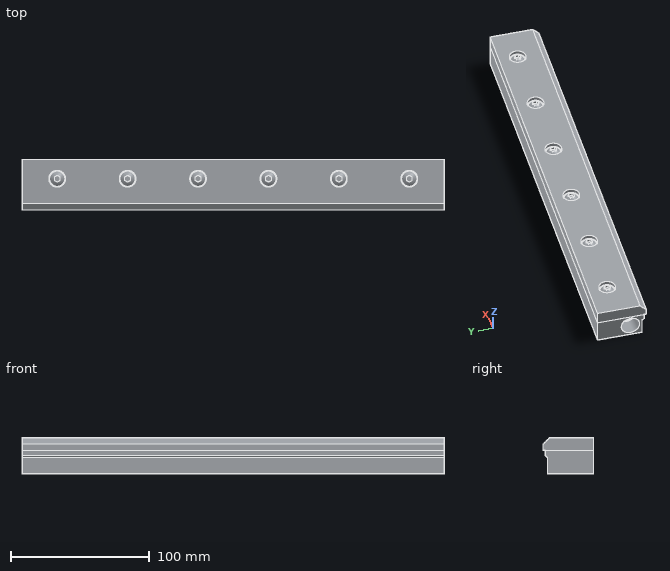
import cadquery as cq
import math

length = 304.8
cap_width = 36.51
total_height = 26.2

cap_height = 9.2
cap_chamfer = 4.76

base_height = total_height - cap_height
base_width = 33.34
lip_width = 34.93
lip_face_height = 3.65

screw_count = 6
screw_pitch = length / screw_count
screw_from_back = 13.88
head_diameter = 11.0
head_height = 3.35
head_rim_height = 0.7
socket_across_flats = 4.2
socket_depth = 2.6
shank_diameter = 6.35
shank_length = 15.9
counterbore_diameter = 12.06
counterbore_depth = head_height
clearance_diameter = 7.16

port_from_back = 24.6
port_height = 8.8
port_mouth_diameter = 13.7
port_taper_diameter = 12.06
port_diameter = 11.0
port_taper = 1 / 16
port_mouth_depth = 12.0
port_depth = 35.0
drill_point_angle = 118

back_y = cap_width / 2
left_x = -length / 2
top_z = total_height
screw_y = back_y - screw_from_back
seat_z = top_z - counterbore_depth
screw_places = [
    (left_x + screw_pitch * (index + 0.5), screw_y) for index in range(screw_count)
]


def extrude_profile(points):
    """Extrude a (y, z) outline along the whole length of the bars."""
    return cq.Workplane("YZ", origin=(left_x, 0, 0)).polyline(points).close().extrude(length)


def vertical_cylinders(diameter, bottom_z, height):
    """Cylinders standing on bottom_z at every screw place."""
    plane = cq.Workplane("XY", origin=(0, 0, bottom_z))
    return plane.pushPoints(screw_places).circle(diameter / 2).extrude(height)


def make_port():
    """Wide mouth, tapered bore, straight bore and drill point, revolved about the port axis."""
    mouth_radius = port_mouth_diameter / 2
    taper_radius = port_taper_diameter / 2
    bore_radius = port_diameter / 2
    taper_length = (port_taper_diameter - port_diameter) / port_taper
    point_length = bore_radius / math.tan(math.radians(drill_point_angle / 2))
    outline = [
        (0, 0),
        (0, mouth_radius),
        (port_mouth_depth, mouth_radius),
        (port_mouth_depth, taper_radius),
        (port_mouth_depth + taper_length, bore_radius),
        (port_depth, bore_radius),
        (port_depth + point_length, 0),
    ]
    axis_start = (left_x, back_y - port_from_back, port_height)
    return (
        cq.Workplane("XZ", origin=axis_start)
        .polyline(outline).close()
        .revolve(360, (0, 0, 0), (1, 0, 0))
    )


def make_base():
    """Lower bar with a lip along its front top edge, undercut at 45 degrees."""
    face_y = back_y - base_width
    lip_y = back_y - lip_width
    lip_z = base_height - lip_face_height
    undercut_z = lip_z - (lip_width - base_width)
    base = extrude_profile([
        (back_y, 0),
        (face_y, 0),
        (face_y, undercut_z),
        (lip_y, lip_z),
        (lip_y, base_height),
        (back_y, base_height),
    ])
    screw_bottom_z = seat_z - shank_length
    base = base.cut(vertical_cylinders(shank_diameter, screw_bottom_z, shank_length))
    return base.cut(make_port())


def make_cap():
    """Upper bar with a chamfered front edge and a counterbored hole for each screw."""
    front_y = back_y - cap_width
    cap = extrude_profile([
        (back_y, base_height),
        (front_y, base_height),
        (front_y, top_z - cap_chamfer),
        (front_y + cap_chamfer, top_z),
        (back_y, top_z),
    ])
    cap = cap.cut(vertical_cylinders(clearance_diameter, base_height, cap_height))
    return cap.cut(vertical_cylinders(counterbore_diameter, seat_z, counterbore_depth))


def make_screw():
    """Button-head socket screw with its head seated on z = 0."""
    head_radius = head_diameter / 2
    shank_radius = shank_diameter / 2
    dome_rise = head_height - head_rim_height
    dome_radius = (head_radius**2 + dome_rise**2) / (2 * dome_rise)
    half_angle = math.asin(head_radius / dome_radius) / 2
    dome_mid = (
        dome_radius * math.sin(half_angle),
        head_height - dome_radius * (1 - math.cos(half_angle)),
    )
    screw = (
        cq.Workplane("XZ")
        .moveTo(0, -shank_length)
        .lineTo(shank_radius, -shank_length)
        .lineTo(shank_radius, 0)
        .lineTo(head_radius, 0)
        .lineTo(head_radius, head_rim_height)
        .threePointArc(dome_mid, (0, head_height))
        .close()
        .revolve(360, (0, 0, 0), (0, 1, 0))
    )
    socket = (
        cq.Workplane("XY", origin=(0, 0, head_height - socket_depth))
        .polygon(6, socket_across_flats, circumscribed=True)
        .extrude(socket_depth)
    )
    return screw.cut(socket)


base = make_base()
cap = make_cap()
screws = [make_screw().translate((x, y, seat_z)) for x, y in screw_places]

result = cq.Compound.makeCompound([base.val(), cap.val(), *[screw.val() for screw in screws]])